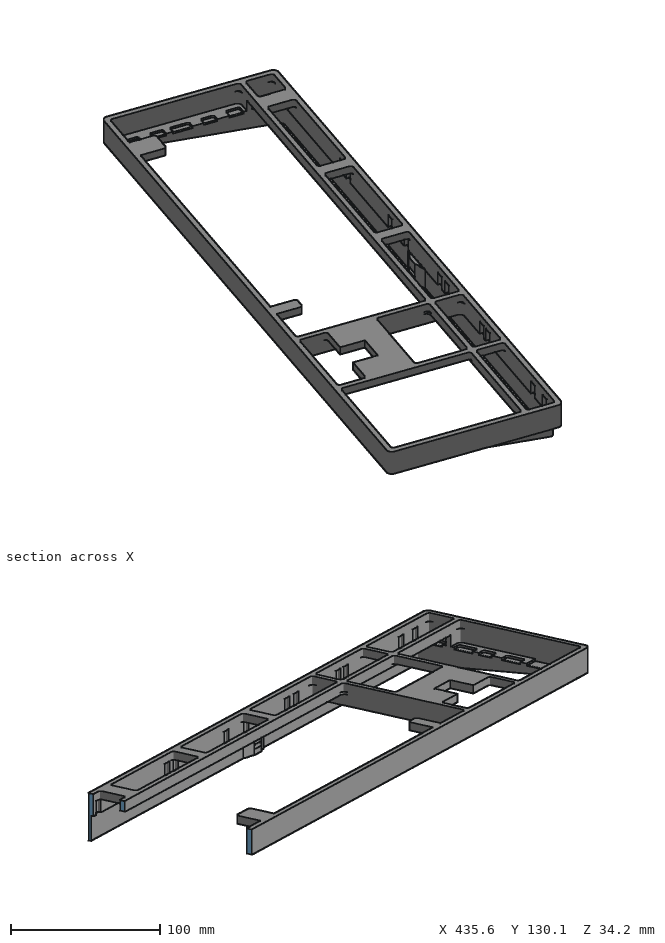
import cadquery as cq
import math

LENGTH = 435.64
WIDTH = 130.1
HEIGHT = 34.21
TILT_DEG = 7.0

CORNER_RADIUS = 4.0
RIM = 4.2
LEDGE_DEPTH = 16.0
OPENING_HALF_X = 202.8
BAY_RADIUS = 2.0
CAVITY_RADIUS = 3.5
TAB_RADIUS = 2.0

WEB_DEPTH = 6.0
RAIL_DEPTH = 7.8
RAIL_Y = (36.0, 40.0)
BARS_X = ((-193.5, -180.5), (-103.0, -94.0), (-16.5, -8.5), (69.0, 73.0), (132.0, 136.0))
DEEP_BAR_X = BARS_X[3]

PLATE_Y = (-40.0, -3.3)
NOTCH_WIDTH = 19.5
NOTCH_DEPTH = 18.5

TABS_X = ((-184.0, -167.3), (29.5, 39.0))
TAB_END_Y = -41.3

SKIRT_HALF_X = 205.3
SKIRT_BACK_WALL = 2.2
SKIRT_INNER_RADIUS = 2.7

BOSS_FOOT_HALF = 12.5
BOSS_MID_HALF = 8.5
BOSS_FLAT_HALF = 4.5
BOSS_HEIGHT = 3.6
PORT_WIDTH = 9.0
PORT_HEIGHT = 3.3
PORT_RADIUS = 1.3
PORT_Z = 6.6

POCKET_DEPTH = 1.6
POCKET_RADIUS = 1.5
LEFT_POCKETS = (
    (52.5, 9.2, 6.3),
    (28.2, 10.5, 6.3),
    (8.9, 10.0, 5.3),
    (-11.8, 14.4, 5.3),
    (-29.2, 10.0, 5.3),
    (-47.9, 10.5, 5.3),
)
RIGHT_POCKETS = (
    (50.3, 14.4, 6.3),
    (26.2, 14.4, 6.3),
    (8.9, 10.0, 6.3),
    (-11.8, 14.4, 6.3),
)
WIDE_POCKET_Y = (-55.8, -24.2)

RECESS_WIDTH = 6.0
RECESS_DEPTH = 2.5
RECESS_RADIUS = 1.0
RECESSES_X = (-195.0, -110.0, -99.5, -36.5, -12.0, 38.6, 49.7, 102.3, 111.5, 180.0, 197.5)

FRAME_BOTTOM_Z = WIDTH * math.tan(math.radians(TILT_DEG))
CAVITY_HALF_X = LENGTH / 2 - RIM
CAVITY_HALF_Y = WIDTH / 2 - RIM
LEDGE_Z = HEIGHT - LEDGE_DEPTH
WEB_Z = HEIGHT - WEB_DEPTH
FRONT_BAY_Y = (-CAVITY_HALF_Y, RAIL_Y[0])
BACK_BAY_Y = (RAIL_Y[1], CAVITY_HALF_Y)
SKIRT_WALL_Y = WIDTH / 2 - SKIRT_BACK_WALL


def block(x_range, y_range, z_range):
    """Box spanning the given (low, high) ranges."""
    size = [high - low for low, high in (x_range, y_range, z_range)]
    corner = (x_range[0], y_range[0], z_range[0])
    return cq.Workplane("XY").box(*size, centered=False).translate(corner)


def symmetric(half):
    """Range of the given half-width about zero."""
    return (-half, half)


def rounded_block(x_range, y_range, z_range, radius):
    """Box with its four upright edges rounded."""
    return block(x_range, y_range, z_range).edges("|Z").fillet(radius)


def make_rim():
    """Rounded outer frame, its cavity, and the opening that leaves a ledge along both ends."""
    outside_y = symmetric(WIDTH / 2)
    rim = rounded_block(symmetric(LENGTH / 2), outside_y, (FRAME_BOTTOM_Z, HEIGHT), CORNER_RADIUS)
    cavity = block(symmetric(CAVITY_HALF_X), symmetric(CAVITY_HALF_Y), (LEDGE_Z, HEIGHT))
    opening = block(
        symmetric(OPENING_HALF_X), (-CAVITY_HALF_Y, SKIRT_WALL_Y), (FRAME_BOTTOM_Z, LEDGE_Z)
    )
    opening = opening.edges("|Z and >Y").fillet(SKIRT_INNER_RADIUS)
    return rim.cut(cavity).cut(opening)


def make_web():
    """Rail, bars and notched plate, flush with the top, with rounded bay corners."""
    z_range = (WEB_Z, HEIGHT)
    web = block(symmetric(CAVITY_HALF_X), symmetric(CAVITY_HALF_Y), z_range)

    edges = [-CAVITY_HALF_X] + [x for bar in BARS_X for x in bar] + [CAVITY_HALF_X]
    bays = [(span, BACK_BAY_Y) for span in zip(edges[::2], edges[1::2])]
    left_bar, right_bar = BARS_X[-2:]
    plate_x = (left_bar[1], right_bar[0])
    bays += [
        ((-CAVITY_HALF_X, left_bar[0]), FRONT_BAY_Y),
        ((right_bar[1], CAVITY_HALF_X), FRONT_BAY_Y),
        (plate_x, (PLATE_Y[1], RAIL_Y[0])),
        (plate_x, (-CAVITY_HALF_Y, PLATE_Y[0])),
    ]
    for x_range, y_range in bays:
        web = web.cut(rounded_block(x_range, y_range, z_range, BAY_RADIUS))

    notch_centre = sum(plate_x) / 2
    notch_x = (notch_centre - NOTCH_WIDTH / 2, notch_centre + NOTCH_WIDTH / 2)
    web = web.cut(block(notch_x, (PLATE_Y[0], PLATE_Y[0] + NOTCH_DEPTH), z_range))
    for tab_x in TABS_X:
        tab = block(tab_x, (-CAVITY_HALF_Y, TAB_END_Y), z_range)
        web = web.union(tab.edges("|Z and >Y").fillet(TAB_RADIUS))
    return web


def make_lower_web():
    """What continues below the web: the deep bar, the rail and the rail's end ribs."""
    z_range = (LEDGE_Z, WEB_Z)
    lower = block(symmetric(CAVITY_HALF_X), symmetric(CAVITY_HALF_Y), z_range)
    sections_x = ((-CAVITY_HALF_X, DEEP_BAR_X[0]), (DEEP_BAR_X[1], CAVITY_HALF_X))
    for x_range in sections_x:
        for y_range in (FRONT_BAY_Y, BACK_BAY_Y):
            lower = lower.cut(rounded_block(x_range, y_range, z_range, CAVITY_RADIUS))

    rail_z = HEIGHT - RAIL_DEPTH
    under_rail_y = (RAIL_Y[0] - CAVITY_RADIUS, RAIL_Y[1] + CAVITY_RADIUS)
    for x_range in ((-OPENING_HALF_X, DEEP_BAR_X[0]), (DEEP_BAR_X[1], OPENING_HALF_X)):
        lower = lower.cut(block(x_range, under_rail_y, (LEDGE_Z, rail_z)))
    return lower


def boss_arc_bulge(run, rise):
    """Sagitta of an arc that starts level and climbs `rise` over `run`."""
    chord = math.hypot(run, rise)
    return chord / 2 * math.tan(math.atan2(rise, run) / 2)


def boss_outline():
    """Low S-sided boss: a concave arc, then a convex arc, up to a flat."""
    wall_y = SKIRT_WALL_Y
    mid_y = wall_y - BOSS_HEIGHT / 2
    top_y = wall_y - BOSS_HEIGHT
    half_bulge = boss_arc_bulge(BOSS_FOOT_HALF - BOSS_MID_HALF, BOSS_HEIGHT / 2)
    return (
        cq.Workplane("XY")
        .moveTo(-BOSS_FOOT_HALF, WIDTH / 2)
        .lineTo(-BOSS_FOOT_HALF, wall_y)
        .sagittaArc((-BOSS_MID_HALF, mid_y), -half_bulge)
        .sagittaArc((-BOSS_FLAT_HALF, top_y), half_bulge)
        .lineTo(BOSS_FLAT_HALF, top_y)
        .sagittaArc((BOSS_MID_HALF, mid_y), half_bulge)
        .sagittaArc((BOSS_FOOT_HALF, wall_y), -half_bulge)
        .lineTo(BOSS_FOOT_HALF, WIDTH / 2)
        .close()
    )


def make_skirt():
    """Back and side walls under the frame, cut off below by the tilted plane."""
    skirt = block(symmetric(SKIRT_HALF_X), symmetric(WIDTH / 2), (0, FRAME_BOTTOM_Z))
    skirt = skirt.edges("|Z and >Y").fillet(CORNER_RADIUS)
    hollow = block(
        symmetric(OPENING_HALF_X), (-WIDTH / 2, SKIRT_WALL_Y), (0, FRAME_BOTTOM_Z)
    )
    hollow = hollow.edges("|Z and >Y").fillet(SKIRT_INNER_RADIUS)
    skirt = skirt.cut(hollow).union(boss_outline().extrude(FRAME_BOTTOM_Z))
    wedge = (
        cq.Workplane("YZ")
        .polyline([(-WIDTH / 2, FRAME_BOTTOM_Z), (WIDTH / 2, FRAME_BOTTOM_Z), (WIDTH / 2, 0)])
        .close()
        .extrude(LENGTH / 2, both=True)
    )
    return skirt.intersect(wedge)


def make_port():
    """Rounded connector opening through the boss and the skirt back wall."""
    port = block(
        symmetric(PORT_WIDTH / 2),
        (SKIRT_WALL_Y - BOSS_HEIGHT, WIDTH / 2),
        (PORT_Z - PORT_HEIGHT / 2, PORT_Z + PORT_HEIGHT / 2),
    )
    return port.edges("|Y").fillet(PORT_RADIUS)


def make_ledge_pockets():
    """Pockets sunk in the two end ledges, open toward the middle of the frame."""
    z_range = (LEDGE_Z - POCKET_DEPTH, LEDGE_Z)
    pockets = block((OPENING_HALF_X, CAVITY_HALF_X), WIDE_POCKET_Y, z_range)
    for side, places in ((-1, LEFT_POCKETS), (1, RIGHT_POCKETS)):
        for centre_y, length, reach in places:
            x_range = sorted((side * OPENING_HALF_X, side * (OPENING_HALF_X + reach)))
            pocket = block(x_range, (centre_y - length / 2, centre_y + length / 2), z_range)
            outer_edges = "|Z and >X" if side > 0 else "|Z and <X"
            pockets = pockets.union(pocket.edges(outer_edges).fillet(POCKET_RADIUS))
    return pockets


def make_wall_recesses():
    """Upright recesses in the inner face of the back rim, below the web."""
    y_range = (CAVITY_HALF_Y, CAVITY_HALF_Y + RECESS_DEPTH)
    recesses = cq.Workplane("XY")
    for centre_x in RECESSES_X:
        x_range = (centre_x - RECESS_WIDTH / 2, centre_x + RECESS_WIDTH / 2)
        recess = block(x_range, y_range, (LEDGE_Z, WEB_Z))
        recesses = recesses.add(recess.edges("|Z and >Y").fillet(RECESS_RADIUS))
    return recesses.combine()


result = make_rim().union(make_web()).union(make_lower_web()).union(make_skirt())
result = result.cut(make_port()).cut(make_ledge_pockets()).cut(make_wall_recesses())